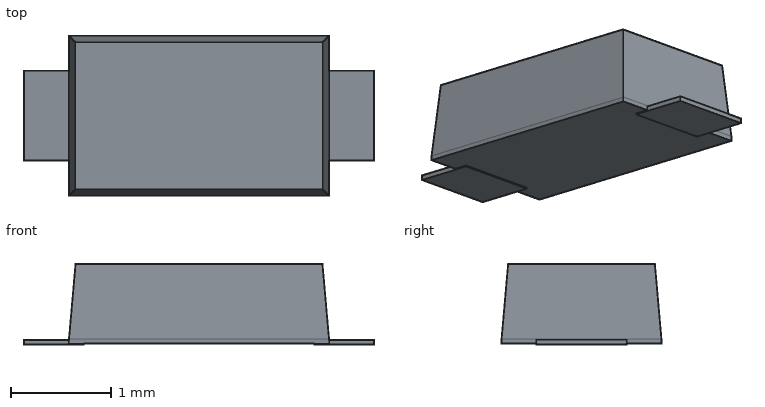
import cadquery as cq
import math

overall_length = 3.5
overall_height = 0.81

body_length = 2.6
body_width = 1.6
standoff = 0.01
band_height = 0.05
draft_angle = 5.0

lead_length = 0.6
lead_width = 0.9
lead_thickness = 0.05


def make_body():
    """Straight base band with a tapered block on top."""
    band = (
        cq.Workplane("XY", origin=(0, 0, standoff))
        .rect(body_length, body_width)
        .extrude(band_height)
    )
    block_height = overall_height - standoff - band_height
    inset = block_height * math.tan(math.radians(draft_angle))
    block = (
        cq.Workplane("XY", origin=(0, 0, standoff + band_height))
        .rect(body_length, body_width)
        .workplane(offset=block_height)
        .rect(body_length - 2 * inset, body_width - 2 * inset)
        .loft(ruled=True)
    )
    return band.union(block)


def make_lead(side):
    """Terminal strip at one end; side is -1 or +1 along X."""
    center_x = side * (overall_length - lead_length) / 2
    return (
        cq.Workplane("XY", origin=(center_x, 0, 0))
        .rect(lead_length, lead_width)
        .extrude(lead_thickness)
    )


result = make_body()
for side in (-1, 1):
    result = result.union(make_lead(side))